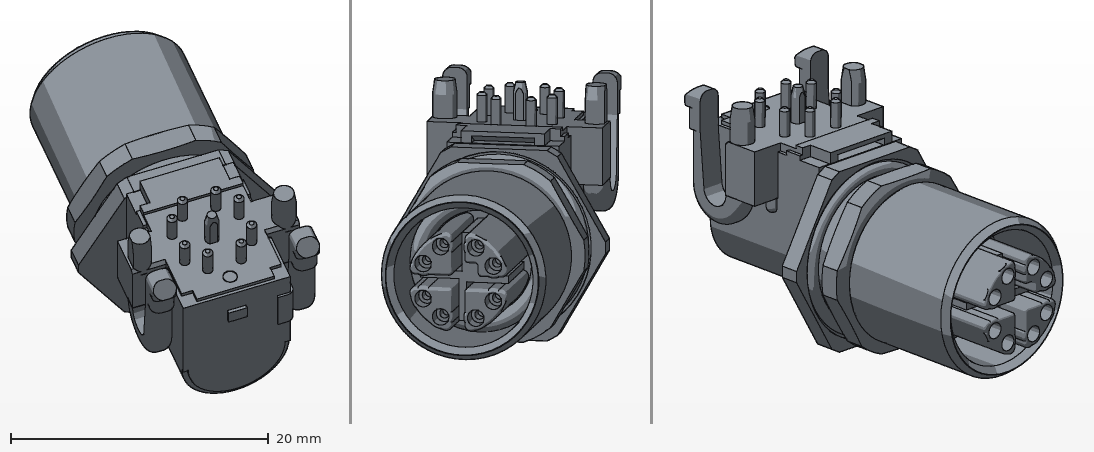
import cadquery as cq
import math


SHELL_D = 13.0
SHELL_START = 1.57
SHELL_END = 12.65
LEAD_LENGTH = 0.62
LEAD_DEPTH = 0.43
SHELL_END_CHAMFER = 0.25
BORE_D = 11.0
BORE_FLOOR = 8.63
MOUTH_FLARE = 0.52
NECK_D = 12.0

SEAL_INNER_D = 8.2
SEAL_TUBE_R = (BORE_D - SEAL_INNER_D) / 4
SEAL_RING_R = (BORE_D + SEAL_INNER_D) / 4

NUT_FLATS = 14.02
NUT_D = 14.98
NUT_END = 14.6
NUT_CHAMFER_LENGTH = 0.2
NUT_CHAMFER_DEPTH = 0.77
FLANGE_FLATS = 15.05
FLANGE_CORNERS = 16.83
FLANGE_START = 16.3
FLANGE_END = 17.9
GASKET_TUBE_R = 0.52
GASKET_PROUD = 0.25
GASKET_RING_R = NECK_D / 2 + GASKET_TUBE_R
GASKET_GROOVE_D = 14.55
GASKET_GROOVE_DEPTH = GASKET_TUBE_R - GASKET_PROUD

INSERT_R = 4.0
INSERT_HALF_GAP = 0.5
INSERT_ROUND = 0.28
INSERT_RIM_ROUND = 0.5
INSERT_FRONT_ROUND = 0.25
KEY_STEP = 1.55
CONTACT_NEAR = 1.4
CONTACT_FAR = 2.77
CONTACT_HOLE_D = 1.3
CONTACT_HOLE_DEPTH = 1.55
CONTACT_BORE_D = 0.75
CONTACT_BORE_DEPTH = 2.77
CONTACT_SLEEVE_R = 1.0
SHIELD_REACH = 3.48
SHIELD_THICKNESS = 0.6
SHIELD_OFFSET = 0.12
SHIELD_FRONT = 2.47
KEY_POST = 1.33

BODY_HALF = 4.45
BODY_END = 30.08
BODY_TOP = 7.58
BODY_ROUND_DROP = 0.05
REAR_END = 30.33
REAR_R = 4.0
LID_HALF = 4.13
LID_TOP = 8.25
LID_START = 20.83
LID_CORNER = 0.92
RAIL_TOP = 7.95
RAIL_SPANS = [(20.05, 21.57), (26.15, BODY_END)]
TONGUE_HALF = 3.3
TONGUE_TOP = 8.55
TONGUE_START = 17.8
RIDGE_START = 20.05
WINDOW_HALF = 2.5
WINDOW_TOP = 8.17
WINDOW_DEPTH = 1.23
MARK_X = 28.88
MARK_D = 1.1
MARK_DEPTH = 0.1

WING_START = 22.53
WING_END = 25.8
WING_HALF = 6.93
WING_BOTTOM = 3.73
WING_CHAMFER = 0.28
RIB_X = 23.1
RIB_D = 1.0
RIB_ROUND = 0.43
RIB_BOTTOM = 2.45
PIN_CENTRE_X = 24.87
PIN_D = 0.8
PIN_TOP = 10.57
PIN_CHAMFER = 0.22
PIN_INNER = 1.4
PIN_OUTER = 2.77
SHIELD_PIN_D = 1.1
SHIELD_PIN_FLATS = 0.92
SHIELD_PIN_TIP_D = 0.75
SHIELD_PIN_SHOULDER = 10.4
PEG_TOP = 11.22
PEG_Y = 5.98
PEG_D = 1.9
PEG_TIP_D = 1.6
PEG_SHOULDER = 10.1
PEG_FLATS = 1.5

CLIP_INNER = 4.95
CLIP_OUTER = 6.9
CLIP_WIDTH = CLIP_OUTER - CLIP_INNER
CLIP_Y = (CLIP_INNER + CLIP_OUTER) / 2
BEND_X = 27.0
BEND_INNER_R = 1.23
BEND_OUTER_R = 2.85
CLIP_ROUND = 0.75
LEG_START = 28.63
LEG_END = 30.3
LEG_BOTTOM = 8.15
HOOK_BOTTOM = 9.92
HOOK_TIP_X = 30.82
HOOK_TIP_Z = 10.32
CLIP_TOP = 11.43
HOOK_CREST_END = HOOK_TIP_X - (CLIP_TOP - HOOK_TIP_Z)

TAB_END = 30.6
TAB_HALF = 0.77
TAB_BOTTOM = 4.93
TAB_TOP = 6.05
LATCH_START = 29.4
LATCH_END = 30.5
LATCH_INNER = 3.35
LATCH_OUTER = 4.78
LATCH_BOTTOM = 2.68
LATCH_ROUND = 0.62


def block(x, y, z):
    """Box given by its (low, high) range along each axis."""
    size = (x[1] - x[0], y[1] - y[0], z[1] - z[0])
    return cq.Workplane("XY").box(*size, centered=False).translate((x[0], y[0], z[0]))


def rod(diameter, start, end, y=0, z=0):
    """Cylinder along X."""
    plane = cq.Workplane("YZ", origin=(start, y, z))
    return plane.circle(diameter / 2).extrude(end - start)


def post(diameter, x, y, bottom, top):
    """Cylinder along Z."""
    return cq.Workplane("XY", origin=(x, y, bottom)).circle(diameter / 2).extrude(top - bottom)


def turned(points):
    """Solid of revolution about the X axis from (x, radius) points."""
    return cq.Workplane("XY").polyline(points).close().revolve(360, (0, 0, 0), (1, 0, 0))


def ring(x, ring_radius, tube_radius):
    """Torus around the X axis."""
    return cq.Workplane(cq.Solid.makeTorus(
        ring_radius, tube_radius, cq.Vector(x, 0, 0), cq.Vector(1, 0, 0)))


def hexagon(flats, start, end, turn):
    """Hexagonal prism along X, with two flats facing +Z and -Z when turn is 0."""
    prism = cq.Workplane("YZ", origin=(start, 0, 0))
    prism = prism.polygon(6, flats / math.cos(math.pi / 6)).extrude(end - start)
    return prism.rotate((0, 0, 0), (1, 0, 0), turn)


def make_shell():
    radius = SHELL_D / 2
    shell = turned([
        (SHELL_START, 0),
        (SHELL_START, radius - LEAD_DEPTH),
        (SHELL_START + LEAD_LENGTH, radius),
        (SHELL_END - SHELL_END_CHAMFER, radius),
        (SHELL_END, radius - SHELL_END_CHAMFER),
        (SHELL_END, NECK_D / 2),
        (FLANGE_START, NECK_D / 2),
        (FLANGE_START, 0),
    ])
    shell = shell.cut(rod(BORE_D, SHELL_START, BORE_FLOOR))
    mouth_r = BORE_D / 2 + MOUTH_FLARE
    shell = shell.cut(turned([
        (SHELL_START, 0),
        (SHELL_START, mouth_r),
        (SHELL_START + MOUTH_FLARE, BORE_D / 2),
        (SHELL_START + MOUTH_FLARE, 0),
    ]))
    return shell.union(ring(BORE_FLOOR, SEAL_RING_R, SEAL_TUBE_R))


def make_nut():
    rim = NUT_D / 2
    crown = turned([
        (SHELL_END, 0),
        (SHELL_END, rim - NUT_CHAMFER_DEPTH),
        (SHELL_END + NUT_CHAMFER_LENGTH, rim),
        (NUT_END - NUT_CHAMFER_LENGTH, rim),
        (NUT_END, rim - NUT_CHAMFER_DEPTH),
        (NUT_END, 0),
    ])
    return hexagon(NUT_FLATS, SHELL_END, NUT_END, 0).intersect(crown)


def make_flange():
    flange = hexagon(FLANGE_FLATS, FLANGE_START, FLANGE_END, 0)
    flange = flange.intersect(hexagon(FLANGE_CORNERS, FLANGE_START, FLANGE_END, 30))
    groove_floor = FLANGE_START + GASKET_GROOVE_DEPTH
    groove = rod(GASKET_GROOVE_D, FLANGE_START, groove_floor)
    flange = flange.cut(groove.cut(rod(NECK_D, FLANGE_START, groove_floor)))
    return flange.union(ring(groove_floor, GASKET_RING_R, GASKET_TUBE_R))


def make_insert(has_key):
    """Insert in the +Y +Z quadrant, carrying two contact holes."""
    disc = rod(2 * INSERT_R, 0, BORE_FLOOR)
    span = (INSERT_HALF_GAP, INSERT_R)
    insert = disc.intersect(block((0, BORE_FLOOR), span, span))
    if has_key:
        step = (0, KEY_STEP)
        insert = insert.cut(block((0, BORE_FLOOR), step, step))
    insert = insert.edges("|X and (not (>Y or >Z))").fillet(INSERT_ROUND)
    insert = insert.edges("|X and (>Y or >Z)").fillet(INSERT_RIM_ROUND)
    insert = insert.faces("<X").edges().fillet(INSERT_FRONT_ROUND)
    contacts = [(CONTACT_NEAR, CONTACT_FAR), (CONTACT_FAR, CONTACT_NEAR)]
    for y, z in contacts:
        sleeve = rod(2 * CONTACT_SLEEVE_R, 0, BORE_FLOOR, y, z)
        sleeve = sleeve.faces("<X").edges().fillet(INSERT_FRONT_ROUND)
        insert = insert.union(sleeve.intersect(disc))
    for y, z in contacts:
        insert = insert.cut(rod(CONTACT_HOLE_D, 0, CONTACT_HOLE_DEPTH, y, z))
        insert = insert.cut(rod(CONTACT_BORE_D, 0, CONTACT_BORE_DEPTH, y, z))
    return insert


def make_inserts():
    inserts = cq.Workplane("XY")
    depth = (SHIELD_FRONT, BORE_FLOOR)
    arm_low = SHIELD_OFFSET - SHIELD_THICKNESS / 2
    arm = block(depth, (0, SHIELD_REACH), (arm_low, arm_low + SHIELD_THICKNESS))
    for quarter in range(4):
        insert = make_insert(has_key=quarter == 1)
        inserts = inserts.union(insert.rotate((0, 0, 0), (1, 0, 0), 90 * quarter))
        inserts = inserts.union(arm.rotate((0, 0, 0), (1, 0, 0), 90 * quarter))
    return inserts.union(block(depth, (-KEY_POST, 0), (0, KEY_POST)))


def make_body():
    body = rod(2 * BODY_HALF, FLANGE_END, BODY_END, z=-BODY_ROUND_DROP)
    width = (-BODY_HALF, BODY_HALF)
    body = body.union(block((FLANGE_END, BODY_END), width, (-BODY_ROUND_DROP, BODY_TOP)))
    body = body.union(rod(2 * REAR_R, BODY_END, REAR_END))
    body = body.union(block((BODY_END, REAR_END), width, (0, RAIL_TOP)))

    body = body.union(block((LID_START, BODY_END), (-LID_HALF, LID_HALF), (BODY_TOP, LID_TOP)))
    for x in RAIL_SPANS:
        body = body.union(block(x, width, (BODY_TOP, RAIL_TOP)))

    raised = (BODY_TOP, TONGUE_TOP)
    body = body.union(block((TONGUE_START, LID_START), (-TONGUE_HALF, TONGUE_HALF), raised))
    body = body.union(block((RIDGE_START, LID_START), (-LID_HALF, LID_HALF), raised))
    window = (
        cq.Workplane("XZ", origin=(0, WINDOW_HALF, 0))
        .moveTo(TONGUE_START, BODY_TOP)
        .lineTo(TONGUE_START, WINDOW_TOP)
        .lineTo(TONGUE_START + WINDOW_DEPTH, BODY_TOP)
        .close()
        .extrude(2 * WINDOW_HALF)
    )
    body = body.cut(window)

    for low in (-LID_HALF, LID_HALF - LID_CORNER):
        corner = (BODY_END - LID_CORNER, BODY_END)
        body = body.cut(block(corner, (low, low + LID_CORNER), (RAIL_TOP, LID_TOP)))
    return body.cut(post(MARK_D, MARK_X, 0, LID_TOP - MARK_DEPTH, LID_TOP))


def make_wings():
    wings = block((WING_START, WING_END), (-WING_HALF, WING_HALF), (WING_BOTTOM, LID_TOP))
    wings = wings.edges(">X and >Z").chamfer(WING_CHAMFER)
    for side in (-1, 1):
        rib = post(RIB_D, RIB_X, side * BODY_HALF, RIB_BOTTOM, WING_BOTTOM)
        wings = wings.union(rib.faces("<Z").edges().fillet(RIB_ROUND))
    return wings


def tapered_post(diameter, tip_diameter, x, y, shoulder, top):
    """Round post on the lid whose upper length narrows to the tip."""
    base = post(diameter, x, y, BODY_TOP, shoulder)
    tip = cq.Workplane("XY", origin=(x, y, shoulder)).circle(diameter / 2)
    tip = tip.workplane(offset=top - shoulder).circle(tip_diameter / 2).loft(combine=True)
    return base.union(tip)


def make_pegs():
    """Locating pegs: a round one at +Y and one with two flats at -Y."""
    pegs = tapered_post(PEG_D, PEG_TIP_D, PIN_CENTRE_X, PEG_Y, PEG_SHOULDER, PEG_TOP)
    flatted = tapered_post(PEG_D, PEG_TIP_D, PIN_CENTRE_X, -PEG_Y, PEG_SHOULDER, PEG_TOP)
    x = (PIN_CENTRE_X - PEG_D, PIN_CENTRE_X + PEG_D)
    y = (-PEG_Y - PEG_FLATS / 2, -PEG_Y + PEG_FLATS / 2)
    return pegs.union(flatted.intersect(block(x, y, (BODY_TOP, PEG_TOP))))


def make_pins():
    centre = tapered_post(
        SHIELD_PIN_D, SHIELD_PIN_TIP_D, PIN_CENTRE_X, 0, SHIELD_PIN_SHOULDER, PEG_TOP)
    x = (PIN_CENTRE_X - SHIELD_PIN_FLATS / 2, PIN_CENTRE_X + SHIELD_PIN_FLATS / 2)
    pins = centre.intersect(block(x, (-SHIELD_PIN_D, SHIELD_PIN_D), (BODY_TOP, PEG_TOP)))
    pin = post(PIN_D, PIN_CENTRE_X, 0, BODY_TOP, PIN_TOP).faces(">Z").chamfer(PIN_CHAMFER)
    for x_sign in (-1, 1):
        for y_sign in (-1, 1):
            for dx, dy in [(PIN_INNER, PIN_OUTER), (PIN_OUTER, PIN_INNER)]:
                pins = pins.union(pin.translate((x_sign * dx, y_sign * dy, 0)))
    return pins


def make_clip():
    """Spring clip centred on Y = 0: a rounded U bend, a leg and a snap hook."""
    start = (0, CLIP_WIDTH / 2, 0)
    bend = (
        cq.Workplane("XZ", origin=start)
        .moveTo(BEND_X - BEND_INNER_R, WING_BOTTOM)
        .threePointArc((BEND_X, WING_BOTTOM - BEND_INNER_R), (BEND_X + BEND_INNER_R, WING_BOTTOM))
        .lineTo(LEG_START, LEG_BOTTOM)
        .lineTo(BEND_X + BEND_OUTER_R, LEG_BOTTOM)
        .lineTo(BEND_X + BEND_OUTER_R, WING_BOTTOM)
        .threePointArc((BEND_X, WING_BOTTOM - BEND_OUTER_R), (BEND_X - BEND_OUTER_R, WING_BOTTOM))
        .close()
        .extrude(CLIP_WIDTH)
    )
    bend = bend.edges("|Z and >X").fillet(CLIP_ROUND)

    half = CLIP_WIDTH / 2
    y = (-half, half)
    leg = block((LEG_START, LEG_END), y, (LEG_BOTTOM, HOOK_BOTTOM))
    leg = leg.edges("|Z and >X").fillet(CLIP_ROUND)
    hook = (
        cq.Workplane("XZ", origin=start)
        .moveTo(LEG_START, HOOK_BOTTOM)
        .lineTo(LEG_START, CLIP_TOP)
        .lineTo(HOOK_CREST_END, CLIP_TOP)
        .lineTo(HOOK_TIP_X, HOOK_TIP_Z)
        .lineTo(LEG_END, HOOK_BOTTOM)
        .close()
        .extrude(CLIP_WIDTH)
    )
    hook_x = (LEG_START, HOOK_TIP_X)
    hook_z = (HOOK_BOTTOM, CLIP_TOP)
    hook = hook.intersect(block(hook_x, y, hook_z).edges("|Z and >X").fillet(CLIP_ROUND))
    hook = hook.intersect(block(hook_x, y, hook_z).edges("|X and >Z").fillet(CLIP_ROUND))
    return bend.union(leg).union(hook)


def make_rear_latches():
    tab = block((BODY_END, TAB_END), (-TAB_HALF, TAB_HALF), (TAB_BOTTOM, TAB_TOP))
    latch = block((LATCH_START, LATCH_END), (LATCH_INNER, LATCH_OUTER), (LATCH_BOTTOM, TAB_TOP))
    return tab.union(latch.edges("|Z and >X and >Y").fillet(LATCH_ROUND))


connector = make_shell()
for feature in (
    make_nut(),
    make_flange(),
    make_inserts(),
    make_body().union(make_wings()),
    make_pegs(),
    make_pins(),
    make_clip().translate((0, CLIP_Y, 0)),
    make_clip().translate((0, -CLIP_Y, 0)),
    make_rear_latches(),
):
    connector = connector.union(feature)

result = connector